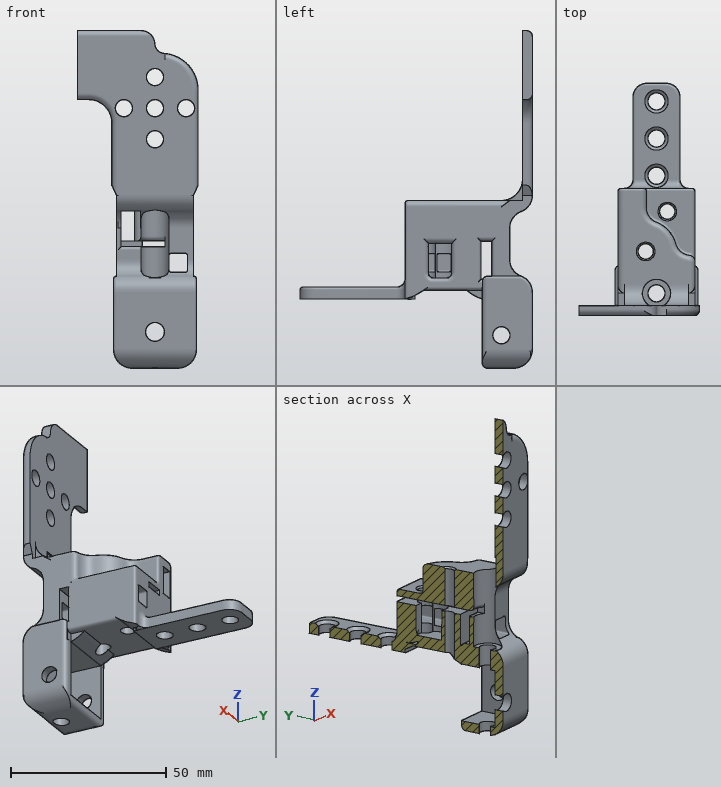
import cadquery as cq
import math

height = 109.0
wall = 3.3
screw_dia = 5.5

plate_half = 14.0
arm_left = -25.1
arm_bottom = 86.7
arm_corner_r = 7.4
shoulder_r = 12.0
shoulder_z = 89.7
shoulder_start_x = 3.3
plate_edge_r = 2.0
plate_root_z = 59.1
cross_center_z = 83.9
cross_pitch = 10.0
notch_start_x = -4.6
notch_mid = (0.0, 104.6)

body_half = 12.4
body_top = 54.2
body_front = 7.3
body_rear = 41.1
body_underside = 25.2
bulge_mid = (18.5, 23.3)
bulge_end = 21.1
underside_end = 35.1
underside_rear_mid = (38.4, 23.3)
bend_top = 55.8
bend_height = 10.5
lower_bend_bottom = 24.5
root_r = 6.8
body_top_edge_r = 2.1
small_edge_r = 1.0

bend_angle = math.atan2(body_front, bend_height)
bend_r = bend_height / 2 / math.sin(2 * bend_angle)
bend_sag_y = bend_r * (1 - math.cos(bend_angle))
bend_sag_z = bend_r * math.sin(bend_angle)
bend_mid_y = body_front / 2

foot_half = 13.4
foot_depth = 16.2
foot_bottom_r = 6.2
foot_rear_r = 1.7
foot_side_edge_r = 1.0
front_hole_dia = 6.0
front_hole_z = 11.8
side_hole_y = 10.0
side_hole_z = 10.7

tongue_half = 7.6
tongue_end = 75.0
tongue_bottom = 22.3
tongue_top = 26.3
tongue_corner_r = 4.6
tongue_root_r = 2.7
tongue_hole_first_y = 45.1
tongue_hole_pitch = 12.0
tongue_hole_count = 3
tongue_sink_dia = 7.5

groove_dia = 9.0
groove_y = 7.2
groove_floor = 29.2

ledge_z = 43.6
ledge_edge_r = 1.2
ledge_wall_x = -3.3
ledge_arc_start_y = 34.8
ledge_arc_ends = [(-0.1, 30.2), (6.2, 23.2), (13.6, 20.1)]
pin_hole_dia = 4.9
pin_rim_dia = 6.0
front_pin = (-3.5, 20.7)
rear_pin = (3.5, 33.6)

slit_bottom = 39.2
channel_bottom = 41.1
channel_top = 50.7
channel_left = -10.9
channel_right = -6.6
slit_right = 3.2
slit_depth_y = 17.4
slit_left = -4.0
rib_corner_r = 2.0
rib_lip_r = 1.3
mouth_r = 1.1
tunnel_left = 4.6
tunnel_right = 10.5
tunnel_bottom = 31.1
tunnel_top = 37.1
tunnel_corner_r = 0.5

slot_front = 13.2
slot_rear = 16.6
slot_bottom = 28.8
slot_top = 41.0
pocket_front = 26.0
pocket_rear = 33.6
pocket_bottom = 29.2
pocket_top = 40.3
pocket_end_x = 0.1
pocket_end_y = 28.6
pocket_end_r = 5.0
pocket_corner_r = 1.6
slot_mouth_r = 1.3
pocket_mouth_r = 1.6


def box(x0, x1, y0, y1, z0, z1):
    """Axis-aligned box between two corners."""
    return cq.Workplane("XY").box(x1 - x0, y1 - y0, z1 - z0, centered=False).translate((x0, y0, z0))


def edges_inside(low, high):
    """Selector for edges whose centre lies in a box, with a little slack on flat boxes."""
    slack = 0.05
    low_corner = tuple(value - slack for value in low)
    high_corner = tuple(value + slack for value in high)
    return cq.selectors.BoxSelector(low_corner, high_corner)


def hole_z(x, y, dia):
    """Cutter along Z through the whole part."""
    return cq.Workplane("XY").center(x, y).circle(dia / 2).extrude(height)


def hole_y(x, z, dia, depth):
    """Cutter along Y from the front face."""
    return cq.Workplane("XZ").center(x, z).circle(dia / 2).extrude(-depth)


def cone_z(x, y, z_top, top_dia, bottom_dia):
    """45 degree countersink cutter opening at z_top."""
    depth = (top_dia - bottom_dia) / 2
    return cq.Workplane("XY", origin=(x, y, z_top)).circle(top_dia / 2).extrude(-depth, taper=45)


def make_plate():
    """Upright plate with a side arm, a rounded shoulder and a cross of five holes."""
    shoulder_x = plate_half - shoulder_r
    shoulder_start_z = shoulder_z + math.sqrt(shoulder_r**2 - (shoulder_start_x - shoulder_x) ** 2)
    diagonal = shoulder_r * math.sqrt(0.5)
    arm_arc_x = -plate_half - arm_corner_r
    arm_arc_z = arm_bottom - arm_corner_r
    arm_diagonal = arm_corner_r * math.sqrt(0.5)
    plate = (
        cq.Workplane("XZ")
        .moveTo(arm_left, height)
        .lineTo(shoulder_start_x, height)
        .lineTo(shoulder_start_x, shoulder_start_z)
        .threePointArc((shoulder_x + diagonal, shoulder_z + diagonal), (plate_half, shoulder_z))
        .lineTo(plate_half, plate_root_z)
        .lineTo(body_half, bend_top)
        .lineTo(-body_half, bend_top)
        .lineTo(-plate_half, plate_root_z)
        .lineTo(-plate_half, arm_arc_z)
        .threePointArc((arm_arc_x + arm_diagonal, arm_arc_z + arm_diagonal), (arm_arc_x, arm_bottom))
        .lineTo(arm_left, arm_bottom)
        .close()
        .extrude(-wall)
    )
    front_edge_points = [
        (arm_left / 2, 0, height),
        (plate_half, 0, (shoulder_z + plate_root_z) / 2),
        (-plate_half, 0, (arm_arc_z + plate_root_z) / 2),
    ]
    for point in front_edge_points:
        plate = plate.edges(cq.NearestToPointSelector(point)).fillet(plate_edge_r)
    notch = (
        cq.Workplane("XZ")
        .moveTo(arm_left, height)
        .lineTo(notch_start_x, height)
        .tangentArcPoint(notch_mid, relative=False)
        .tangentArcPoint((shoulder_start_x, shoulder_start_z), relative=False)
        .lineTo(shoulder_start_x + wall, height)
        .lineTo(arm_left, height + wall)
        .close()
        .extrude(-wall)
    )
    plate = plate.cut(notch)
    for column, row in [(0, 0), (-1, 0), (1, 0), (0, -1), (0, 1)]:
        hole_height = cross_center_z + row * cross_pitch
        plate = plate.cut(hole_y(column * cross_pitch, hole_height, screw_dia, wall))
    return plate


def make_body():
    """Body between plate and foot: one side profile across the body width."""
    upper_mid_z = bend_top - bend_height / 2
    upper_bottom = bend_top - bend_height
    lower_mid_z = lower_bend_bottom + bend_height / 2
    lower_top = lower_bend_bottom + bend_height
    body = (
        cq.Workplane("YZ")
        .moveTo(0, bend_top)
        .threePointArc((bend_sag_y, bend_top - bend_sag_z), (bend_mid_y, upper_mid_z))
        .threePointArc((body_front - bend_sag_y, upper_bottom + bend_sag_z), (body_front, upper_bottom))
        .lineTo(body_front, lower_top)
        .threePointArc((body_front - bend_sag_y, lower_top - bend_sag_z), (bend_mid_y, lower_mid_z))
        .threePointArc((bend_sag_y, lower_bend_bottom + bend_sag_z), (0, lower_bend_bottom))
        .lineTo(0, tongue_bottom)
        .lineTo(foot_depth, tongue_bottom)
        .lineTo(foot_depth, body_underside)
        .lineTo(underside_end, body_underside)
        .threePointArc(underside_rear_mid, (body_rear, tongue_bottom))
        .lineTo(body_rear, body_top)
        .lineTo(wall, body_top)
        .lineTo(wall, bend_top)
        .close()
        .extrude(body_half, both=True)
    )
    body = body.cut(make_ledge_cutter())
    ledge_side_y = (body_rear + ledge_arc_ends[-1][1]) / 2
    rounded_edges = [
        ((-body_half, body_rear / 2, body_top), body_top_edge_r),
        ((body_half, (wall + ledge_arc_ends[-1][1]) / 2, body_top), body_top_edge_r),
        ((ledge_wall_x, body_rear, body_top), body_top_edge_r),
        ((body_half, ledge_side_y, ledge_z), ledge_edge_r),
        ((ledge_wall_x, body_rear, ledge_z), small_edge_r),
    ]
    for point, radius in rounded_edges:
        body = body.edges(cq.NearestToPointSelector(point)).fillet(radius)
    for side in (-1, 1):
        underside_edge = (side * body_half, (foot_depth + underside_end) / 2, body_underside)
        body = body.edges(cq.NearestToPointSelector(underside_edge)).fillet(small_edge_r)
    body = body.faces(">Y").edges("not <Z").fillet(small_edge_r)
    return cut_side_openings(body)


def make_plate_root():
    """Concave fillet behind the plate, with a full-width gusset that ends the rounded side edges."""
    diagonal = root_r * (1 - math.sqrt(0.5))
    root = (
        cq.Workplane("YZ")
        .moveTo(wall + root_r, body_top)
        .threePointArc((wall + diagonal, body_top + diagonal), (wall, body_top + root_r))
        .lineTo(wall / 2, body_top + root_r)
        .lineTo(wall / 2, body_top)
        .close()
    )
    root = root.extrude(body_half - body_top_edge_r, both=True)
    gusset = (
        cq.Workplane("YZ")
        .moveTo(wall + root_r, body_top - body_top_edge_r)
        .lineTo(body_front, body_top)
        .lineTo(wall / 2, body_top)
        .lineTo(wall / 2, body_top - body_top_edge_r)
        .close()
    )
    return root.union(gusset.extrude(body_half, both=True))


def make_ledge_cutter():
    """Region above the ledge, bounded by an S wall that winds between the two pin holes."""
    beyond = 2 * body_half
    cutter = (
        cq.Workplane("XY", origin=(0, 0, ledge_z))
        .moveTo(ledge_wall_x, body_rear + wall)
        .lineTo(ledge_wall_x, ledge_arc_start_y)
    )
    for arc_end in ledge_arc_ends:
        cutter = cutter.tangentArcPoint(arc_end, relative=False)
    cutter = (
        cutter.lineTo(beyond, ledge_arc_ends[-1][1])
        .lineTo(beyond, body_rear + wall)
        .close()
        .extrude(height)
    )
    return cutter


def make_foot():
    """Hollow foot box, open to the rear, with an S-bend shoulder at its top front."""
    top = lower_bend_bottom + bend_height / 2
    front_diagonal = foot_bottom_r * (1 - math.sqrt(0.5))
    outer = (
        cq.Workplane("YZ")
        .moveTo(foot_bottom_r, 0)
        .lineTo(foot_depth, 0)
        .lineTo(foot_depth, top)
        .lineTo(bend_mid_y, top)
        .threePointArc((bend_sag_y, lower_bend_bottom + bend_sag_z), (0, lower_bend_bottom))
        .lineTo(0, foot_bottom_r)
        .threePointArc((front_diagonal, front_diagonal), (foot_bottom_r, 0))
        .close()
        .extrude(foot_half, both=True)
    )
    outer = outer.faces("<X or >X").edges("not(>Y)").fillet(foot_side_edge_r)
    outer = outer.faces(">Y").edges("|Z").fillet(foot_rear_r)
    front_outline = box(-foot_half, foot_half, 0, foot_depth, 0, top)
    front_outline = front_outline.edges("|Y and <Z").fillet(foot_bottom_r)
    outer = outer.intersect(front_outline)
    hollow = box(wall - foot_half, foot_half - wall, wall, foot_depth, wall, tongue_bottom)
    return outer.cut(hollow)


def make_underside_bulge():
    """Rounded thickening below the body, behind the foot and as wide as its hollow."""
    bulge = (
        cq.Workplane("YZ")
        .moveTo(wall, tongue_bottom)
        .lineTo(foot_depth, tongue_bottom)
        .threePointArc(bulge_mid, (bulge_end, body_underside))
        .lineTo(bulge_end, body_underside + wall)
        .lineTo(wall, body_underside + wall)
        .close()
    )
    return bulge.extrude(foot_half - wall, both=True)


def make_tongue():
    """Rear tongue with rounded end and rounded top edge."""
    tongue = box(-tongue_half, tongue_half, body_rear - wall, tongue_end, tongue_bottom, tongue_top)
    tongue = tongue.edges("|Z and >Y").fillet(tongue_corner_r)
    tongue = tongue.faces(">Z").edges("not(<Y)").fillet(small_edge_r)
    return tongue


def cut_tongue_holes(part):
    """Countersunk holes along the tongue, cut clear through the flared root above."""
    for index in range(tongue_hole_count):
        y = tongue_hole_first_y + index * tongue_hole_pitch
        hole = hole_z(0, y, screw_dia).union(cone_z(0, y, tongue_top, tongue_sink_dia, screw_dia))
        access = cq.Workplane("XY", origin=(0, y, tongue_top)).circle(tongue_sink_dia / 2).extrude(height)
        part = part.cut(hole).cut(access)
    return part


def cut_foot_holes(part):
    """One hole through the front wall and one across both side walls."""
    part = part.cut(hole_y(0, front_hole_z, front_hole_dia, foot_depth))
    side_hole = cq.Workplane("YZ").center(side_hole_y, side_hole_z).circle(screw_dia / 2)
    return part.cut(side_hole.extrude(foot_half, both=True))


def cut_screw_groove(part):
    """Vertical screw hole through the foot, with a wide driver groove up the body front."""
    groove = cq.Workplane("XY", origin=(0, groove_y, groove_floor)).circle(groove_dia / 2)
    part = part.cut(groove.extrude(body_top + root_r - groove_floor))
    screw = cq.Workplane("XY").center(0, groove_y).circle(screw_dia / 2)
    return part.cut(screw.extrude(groove_floor))


def cut_pin_holes(part):
    """Vertical pin holes with a chamfered rim, one on each level of the body top."""
    for (x, y), top in [(front_pin, body_top), (rear_pin, ledge_z)]:
        part = part.cut(hole_z(x, y, pin_hole_dia))
        part = part.cut(cone_z(x, y, top, pin_rim_dia, pin_hole_dia))
    return part


def cut_front_channels(part):
    """Strap channels that run along Y from the body front."""
    channel = box(channel_left, channel_right, 0, body_rear, channel_bottom, channel_top)
    floor = box(channel_left, slit_right, bend_mid_y, slit_depth_y, slit_bottom, channel_bottom)
    slit = box(slit_left, slit_right, bend_mid_y, body_rear, slit_bottom, channel_bottom)
    tunnel = box(tunnel_left, tunnel_right, 0, body_rear, tunnel_bottom, tunnel_top)
    tunnel = tunnel.edges("|Y").fillet(tunnel_corner_r)
    mouth = mouth_cutter()
    part = part.cut(channel).cut(floor).cut(slit).cut(tunnel).cut(mouth).cut(rib_corner_cutter())
    rib_lip = cq.NearestToPointSelector((0, groove_y + groove_dia / 2, channel_bottom))
    return part.edges(rib_lip).fillet(rib_lip_r)


def rib_corner_cutter():
    """Rounds the front-left corner of the rib that hangs between the channel and the groove."""
    round_x = channel_right + rib_corner_r
    round_y = body_front + rib_corner_r
    corner = box(channel_right, round_x, 0, round_y, channel_bottom, channel_top)
    rib = cq.Workplane("XY").center(round_x, round_y).circle(rib_corner_r).extrude(height)
    return corner.cut(rib)


def mouth_cutter():
    """Flared mouth of the front-left strap opening."""
    mouth_back = body_front + mouth_r
    flare = (
        cq.Workplane("XZ", origin=(0, body_front, 0))
        .moveTo(channel_left - mouth_r, slit_bottom - mouth_r)
        .lineTo(0, slit_bottom - mouth_r)
        .lineTo(0, slit_bottom + mouth_r)
        .lineTo(channel_right, slit_bottom + mouth_r)
        .lineTo(channel_right, channel_top)
        .lineTo(channel_left - mouth_r, channel_top)
        .close()
        .extrude(-mouth_r)
    )
    floor_round = (
        cq.Workplane("YZ", origin=(channel_left - mouth_r, 0, 0))
        .center(mouth_back, slit_bottom - mouth_r)
        .circle(mouth_r)
        .extrude(-channel_left)
    )
    side_round = (
        cq.Workplane("XY", origin=(0, 0, slit_bottom - mouth_r))
        .center(channel_left - mouth_r, mouth_back)
        .circle(mouth_r)
        .extrude(height)
    )
    return flare.cut(floor_round).cut(side_round)


def cut_side_openings(part):
    """Through slot along X, and a blind pocket behind it that ends in a half-round wall."""
    slot = box(-body_half, body_half, slot_front, slot_rear, slot_bottom, slot_top)
    pocket = box(-body_half, pocket_end_x, pocket_front, pocket_rear, pocket_bottom, pocket_top)
    pocket = pocket.edges("|X and <Z").fillet(pocket_corner_r)
    round_end = (
        cq.Workplane("XY", origin=(pocket_end_x, pocket_end_y, pocket_bottom))
        .circle(pocket_end_r)
        .extrude(pocket_top - pocket_bottom)
    )
    part = part.cut(slot).cut(pocket).cut(round_end)
    openings = [
        (slot_front, slot_rear, slot_mouth_r),
        (pocket_front, pocket_rear, pocket_mouth_r),
    ]
    for front, rear, rim_r in openings:
        rim = edges_inside((-body_half, front, slot_bottom), (-body_half, rear, slot_top))
        part = part.edges(rim).fillet(rim_r)
    return part


result = (
    make_plate()
    .union(make_body())
    .union(make_plate_root())
    .union(make_foot())
    .union(make_underside_bulge())
    .union(make_tongue())
)

tongue_root = edges_inside(
    (-tongue_half, body_rear, tongue_bottom + small_edge_r),
    (tongue_half, body_rear, tongue_top),
)
result = result.edges(tongue_root).fillet(tongue_root_r)
for cut_features in [
    cut_tongue_holes,
    cut_foot_holes,
    cut_screw_groove,
    cut_pin_holes,
    cut_front_channels,
]:
    result = cut_features(result)